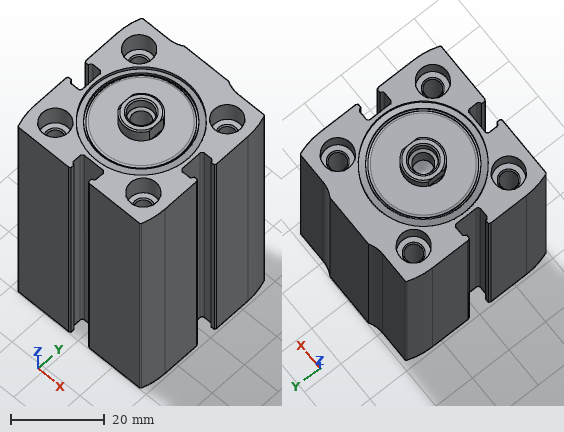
import cadquery as cq
import math

TOTAL_HEIGHT = 67.0
ROD_PROJECTION = 3.35
TOP_Z = TOTAL_HEIGHT - ROD_PROJECTION
WIDTH = 38.5
HALF_WIDTH = WIDTH / 2
DEPTH = 39.5

SIDE_FLAT_HALF = 12.85
CORNER_HALF_WIDTH = 18.1
EDGE_ROUND = 0.4
BAND_RISE = DEPTH - WIDTH
BAND_TOP_HALF = 6.55
BAND_FOOT_HALF = 10.2

SLOT_DEPTH = 4.5
SLOT_LIP = 1.2
SLOT_MOUTH_WIDTH = 5.2
SLOT_INNER_WIDTH = 6.7
SLOT_CORNER_ROUND = 0.7
MOUTH_CHAMFER_WIDTH = 0.5
MOUTH_CHAMFER_DEPTH = 0.2
SLOT_ANGLES = (-90, 90, 0)

MOUNT_PITCH = 26.0
MOUNT_DIAMETER = 4.2
MOUNT_CHAMFER_DIAMETER = 4.9
COUNTERBORE_DIAMETER = 7.5
COUNTERBORE_DEPTH = 5.7

BORE_DIAMETER = 27.8
SLOPE_TOP_DIAMETER = 24.65
SLOPE_DEPTH = 0.9
CAP_EDGE_DIAMETER = 23.7
CAP_FACE_DIAMETER = 22.65
CAP_RECESS = 0.2
CAP_EDGE_DEPTH = 0.35
CAP_GROOVE_DEPTH = 0.7

ROD_DIAMETER = 10.0
ROD_RADIUS = ROD_DIAMETER / 2
ROD_CHAMFER_HEIGHT = 0.2
ROD_CHAMFER_WIDTH = 0.4
ROD_SEAT_DEPTH = 16.75
ROD_BOTTOM_Z = TOP_Z - ROD_SEAT_DEPTH
FLAT_DISTANCE = 4.5
FLAT_BELOW_CAP = 0.7
CUT_CLEARANCE = 0.7

ENTRY_DIAMETER = 7.25
ENTRY_DEPTH = 0.3
ROD_COUNTERBORE_DIAMETER = 6.4
ROD_COUNTERBORE_DEPTH = 2.75
CONE_FLOOR_DROP = 0.4
TAP_DIAMETER = 4.9
TAP_DEPTH = 9.4
DRILL_TIP_ANGLE = 118.0


def tangent_arc_radius(run, rise):
    """Radius of an arc that leaves a line tangentially and departs by rise over run."""
    return (run**2 + rise**2) / (2 * rise)


def cylinder(diameter, bottom, top):
    """Cylinder on the Z axis between two heights."""
    return cq.Workplane("XY", origin=(0, 0, bottom)).circle(diameter / 2).extrude(top - bottom)


def cone(bottom_diameter, top_diameter, bottom, top):
    """Truncated cone on the Z axis between two heights."""
    solid = cq.Solid.makeCone(bottom_diameter / 2, top_diameter / 2, top - bottom, cq.Vector(0, 0, bottom))
    return cq.Workplane("XY").add(solid)


def profile_block():
    """Square block whose four corners curve inward from the flat sides."""
    corner_run = HALF_WIDTH - SIDE_FLAT_HALF
    corner_rise = HALF_WIDTH - CORNER_HALF_WIDTH
    quarter = (
        cq.Workplane("XY")
        .lineTo(HALF_WIDTH, 0)
        .lineTo(HALF_WIDTH, SIDE_FLAT_HALF)
        .radiusArc((CORNER_HALF_WIDTH, HALF_WIDTH), -tangent_arc_radius(corner_run, corner_rise))
        .lineTo(0, HALF_WIDTH)
        .close()
        .extrude(TOP_Z)
    )
    corner_point = (CORNER_HALF_WIDTH, HALF_WIDTH, TOP_Z / 2)
    quarter = quarter.edges(cq.selectors.NearestToPointSelector(corner_point)).fillet(EDGE_ROUND)
    half = quarter.mirror("YZ", union=True)
    return half.mirror("XZ", union=True)


def raised_band():
    """Band on the +Y side with a concave flank at each end."""
    flank_radius = tangent_arc_radius(BAND_FOOT_HALF - BAND_TOP_HALF, BAND_RISE)
    band_y = HALF_WIDTH + BAND_RISE
    return (
        cq.Workplane("XY")
        .moveTo(-BAND_FOOT_HALF, HALF_WIDTH)
        .radiusArc((-BAND_TOP_HALF, band_y), -flank_radius)
        .lineTo(BAND_TOP_HALF, band_y)
        .radiusArc((BAND_FOOT_HALF, HALF_WIDTH), -flank_radius)
        .close()
        .extrude(TOP_Z)
    )


def slot_cutter():
    """T-slot on the -Y side: a wide channel, a narrow mouth and chamfered mouth edges."""
    channel_depth = SLOT_DEPTH - SLOT_LIP
    channel = (
        cq.Workplane("XY")
        .center(0, -HALF_WIDTH + SLOT_LIP + channel_depth / 2)
        .rect(SLOT_INNER_WIDTH, channel_depth)
        .extrude(TOP_Z)
        .edges("|Z")
        .fillet(SLOT_CORNER_ROUND)
    )
    mouth_half = SLOT_MOUTH_WIDTH / 2
    flare_half = mouth_half + MOUTH_CHAMFER_WIDTH
    flare_y = -HALF_WIDTH + MOUTH_CHAMFER_DEPTH
    mouth_inner_y = -HALF_WIDTH + SLOT_DEPTH / 2
    mouth_outline = [
        (-flare_half, -HALF_WIDTH),
        (-mouth_half, flare_y),
        (-mouth_half, mouth_inner_y),
        (mouth_half, mouth_inner_y),
        (mouth_half, flare_y),
        (flare_half, -HALF_WIDTH),
    ]
    mouth = cq.Workplane("XY").polyline(mouth_outline).close().extrude(TOP_Z)
    return channel.union(mouth)


def mount_cutter():
    """Through hole with a chamfered rim at the bottom of its counterbore."""
    floor_z = TOP_Z - COUNTERBORE_DEPTH
    chamfer_depth = (MOUNT_CHAMFER_DIAMETER - MOUNT_DIAMETER) / 2
    return (
        cylinder(MOUNT_DIAMETER, 0, TOP_Z)
        .union(cone(MOUNT_DIAMETER, MOUNT_CHAMFER_DIAMETER, floor_z - chamfer_depth, floor_z))
        .union(cylinder(COUNTERBORE_DIAMETER, floor_z, TOP_Z))
    )


def cap_ring_cutter():
    """Outward slope around the bearing cap, a fine groove inside it and the recess over the cap."""
    slope = (
        cq.Workplane("XZ")
        .moveTo(SLOPE_TOP_DIAMETER / 2, TOP_Z)
        .lineTo(BORE_DIAMETER / 2, TOP_Z - SLOPE_DEPTH)
        .lineTo(BORE_DIAMETER / 2, TOP_Z)
        .close()
        .revolve()
    )
    cap_face_z = TOP_Z - CAP_RECESS
    groove_floor_z = TOP_Z - CAP_GROOVE_DEPTH
    recess_outline = [
        (0, TOP_Z),
        (0, cap_face_z),
        (CAP_FACE_DIAMETER / 2, cap_face_z),
        (CAP_EDGE_DIAMETER / 2, TOP_Z - CAP_EDGE_DEPTH),
        (CAP_EDGE_DIAMETER / 2, groove_floor_z),
        (SLOPE_TOP_DIAMETER / 2, groove_floor_z),
        (SLOPE_TOP_DIAMETER / 2, TOP_Z),
    ]
    recess = cq.Workplane("XZ").polyline(recess_outline).close().revolve()
    return slope.union(recess)


def make_housing():
    """Extruded cylinder body with the bearing cap face at its top and a blind seat for the rod."""
    body = profile_block().union(raised_band())
    for angle in SLOT_ANGLES:
        body = body.cut(slot_cutter().rotate((0, 0, 0), (0, 0, 1), angle))
    for x in (-MOUNT_PITCH / 2, MOUNT_PITCH / 2):
        for y in (-MOUNT_PITCH / 2, MOUNT_PITCH / 2):
            body = body.cut(mount_cutter().translate((x, y, 0)))
    return body.cut(cap_ring_cutter()).cut(cylinder(ROD_DIAMETER, ROD_BOTTOM_Z, TOP_Z))


def flat_cutter():
    """Wrench flat on the +X side; its lower end slopes out to the full rod diameter."""
    outer_x = ROD_RADIUS + CUT_CLEARANCE
    flat_bottom_z = TOP_Z - FLAT_BELOW_CAP
    return (
        cq.Workplane("XZ")
        .moveTo(FLAT_DISTANCE, TOTAL_HEIGHT)
        .lineTo(FLAT_DISTANCE, flat_bottom_z)
        .lineTo(outer_x, flat_bottom_z - (outer_x - FLAT_DISTANCE))
        .lineTo(outer_x, TOTAL_HEIGHT)
        .close()
        .extrude(ROD_RADIUS, both=True)
    )


def rod_hole_cutter():
    """Threaded end hole: chamfered entry, counterbore with conical floor, tap hole with drill tip."""
    floor_depth = ROD_COUNTERBORE_DEPTH + CONE_FLOOR_DROP
    tip_depth = TAP_DEPTH + TAP_DIAMETER / 2 / math.tan(math.radians(DRILL_TIP_ANGLE / 2))
    outline = [
        (0, 0),
        (ENTRY_DIAMETER / 2, 0),
        (ROD_COUNTERBORE_DIAMETER / 2, -ENTRY_DEPTH),
        (ROD_COUNTERBORE_DIAMETER / 2, -ROD_COUNTERBORE_DEPTH),
        (TAP_DIAMETER / 2, -floor_depth),
        (TAP_DIAMETER / 2, -TAP_DEPTH),
        (0, -tip_depth),
    ]
    return cq.Workplane("XZ", origin=(0, 0, TOTAL_HEIGHT)).polyline(outline).close().revolve()


def make_rod():
    """Piston rod with a chamfered tip, two wrench flats and a threaded end hole."""
    rod = cylinder(ROD_DIAMETER, ROD_BOTTOM_Z, TOTAL_HEIGHT - ROD_CHAMFER_HEIGHT)
    tip_diameter = ROD_DIAMETER - 2 * ROD_CHAMFER_WIDTH
    rod = rod.union(cone(ROD_DIAMETER, tip_diameter, TOTAL_HEIGHT - ROD_CHAMFER_HEIGHT, TOTAL_HEIGHT))
    for angle in (0, 180):
        rod = rod.cut(flat_cutter().rotate((0, 0, 0), (0, 0, 1), angle))
    return rod.cut(rod_hole_cutter())


housing = make_housing()
piston_rod = make_rod()
result = cq.Compound.makeCompound([housing.val(), piston_rod.val()])